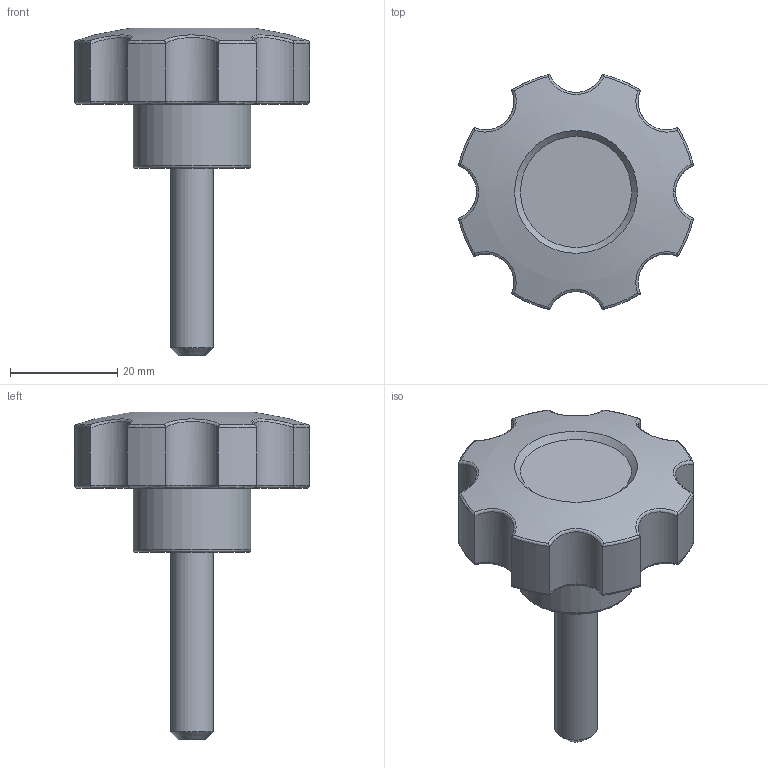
import cadquery as cq
import math


stud_diameter = 8.0
stud_length = 35.0
stud_tip_chamfer = 1.5

boss_diameter = 22.0
boss_height = 12.0

head_diameter = 45.0
dome_radius = 80.0
dome_peak_height = 27.0

flute_count = 8
flute_radius = 5.25
flute_centre_radius = 23.83

recess_rim_radius = 11.47
recess_depth = 1.1

edge_fillet = 0.5


def dome_height(radius):
    """Height of the spherical top at a given distance from the axis."""
    return dome_peak_height - dome_radius + math.sqrt(dome_radius**2 - radius**2)


def make_head():
    """Domed disc with scalloped flutes and rounded top and bottom edges."""
    head_radius = head_diameter / 2
    arc_middle = (head_radius / 2, dome_height(head_radius / 2))
    head = (
        cq.Workplane("XZ")
        .moveTo(0, boss_height)
        .lineTo(head_radius, boss_height)
        .lineTo(head_radius, dome_height(head_radius))
        .threePointArc(arc_middle, (0, dome_peak_height))
        .close()
        .revolve(360, (0, 0), (0, 1))
    )
    flutes = (
        cq.Workplane("XY", origin=(0, 0, boss_height))
        .polarArray(flute_centre_radius, 0, 360, flute_count)
        .circle(flute_radius)
        .extrude(dome_peak_height - boss_height)
    )
    return head.cut(flutes).edges("not |Z").fillet(edge_fillet)


def make_recess():
    """Conical cutter that leaves a flat floor and a 45-degree wall."""
    rim_height = dome_height(recess_rim_radius)
    floor_height = rim_height - recess_depth
    floor_radius = recess_rim_radius - recess_depth
    return (
        cq.Workplane("XZ")
        .moveTo(0, floor_height)
        .lineTo(floor_radius, floor_height)
        .lineTo(recess_rim_radius, rim_height)
        .lineTo(recess_rim_radius, dome_peak_height)
        .lineTo(0, dome_peak_height)
        .close()
        .revolve(360, (0, 0), (0, 1))
    )


def make_boss():
    """Cylindrical boss with a rounded lower edge."""
    return (
        cq.Workplane("XY")
        .circle(boss_diameter / 2)
        .extrude(boss_height)
        .faces("<Z")
        .edges()
        .fillet(edge_fillet)
    )


def make_stud():
    """Plain stud with a chamfered tip."""
    return (
        cq.Workplane("XY")
        .circle(stud_diameter / 2)
        .extrude(-stud_length)
        .faces("<Z")
        .edges()
        .chamfer(stud_tip_chamfer)
    )


result = make_head().cut(make_recess()).union(make_boss()).union(make_stud())